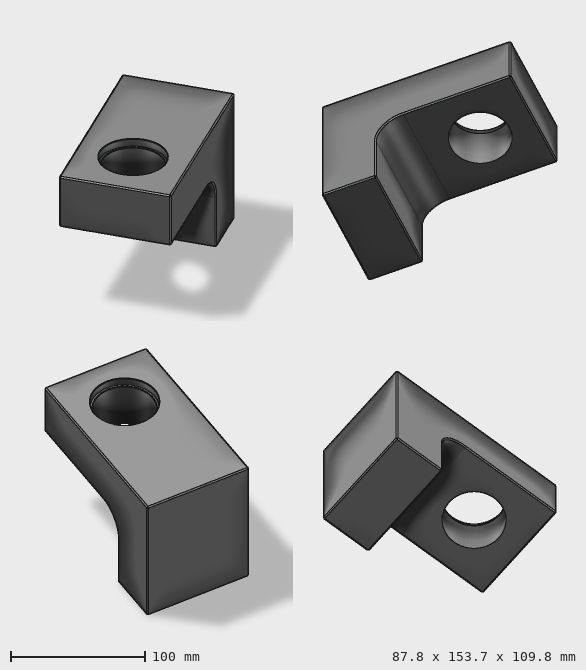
import cadquery as cq

width = 87.8
length = 153.7
height = 109.8

arm_thickness = 44.0
leg_thickness = 44.0
inner_radius = 22.0
edge_chamfer = 1.0

hole_diameter = 47.7
recess_diameter = 51.7
recess_depth = 6.5
hole_chamfer = 0.5
hole_y = width / 2


def make_body():
    """L-shaped block with a rounded inner corner and chamfered edges."""
    leg_face_y = length - leg_thickness
    arm_bottom_z = height - arm_thickness
    profile = (
        cq.Workplane("YZ")
        .moveTo(length, 0)
        .lineTo(length, height)
        .lineTo(0, height)
        .lineTo(0, arm_bottom_z)
        .lineTo(leg_face_y - inner_radius, arm_bottom_z)
        .radiusArc((leg_face_y, arm_bottom_z - inner_radius), inner_radius)
        .lineTo(leg_face_y, 0)
        .close()
    )
    block = profile.extrude(width / 2, both=True)
    side_edges = block.faces("<X or >X").edges()
    outer_edges = block.edges("|X").edges("<Z or >Z or <Y or >Y")
    return block.newObject(side_edges.vals() + outer_edges.vals()).chamfer(edge_chamfer)


def make_hole_cutter():
    """Through hole with a shallow recess and a chamfer at each rim."""
    hole_radius = hole_diameter / 2
    recess_radius = recess_diameter / 2
    recess_floor_z = height - recess_depth
    return (
        cq.Workplane("XZ", origin=(0, hole_y, 0))
        .lineTo(hole_radius, 0)
        .lineTo(hole_radius, recess_floor_z - hole_chamfer)
        .lineTo(hole_radius + hole_chamfer, recess_floor_z)
        .lineTo(recess_radius, recess_floor_z)
        .lineTo(recess_radius, height - hole_chamfer)
        .lineTo(recess_radius + hole_chamfer, height)
        .lineTo(0, height)
        .close()
        .revolve(360, (0, 0, 0), (0, 1, 0))
    )


result = make_body().cut(make_hole_cutter())